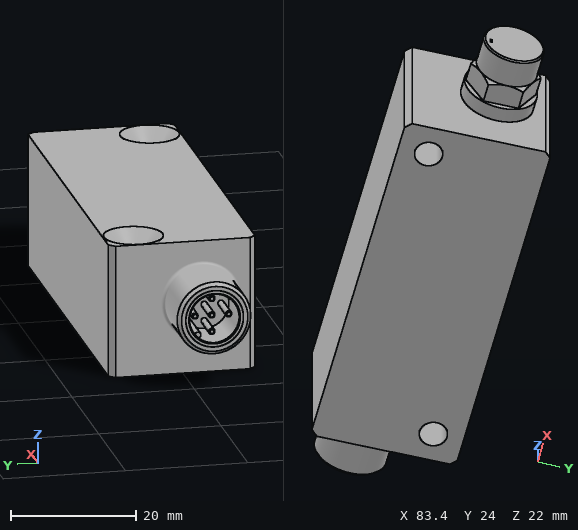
import cadquery as cq
import math

HOUSING_START = 10
HOUSING_LENGTH = 62.0
HOUSING_WIDTH = 24.0
HOUSING_HEIGHT = 22.0
CORNER_CHAMFER = 1.0
HOUSING_END = HOUSING_START + HOUSING_LENGTH
HOUSING_MIDDLE = HOUSING_START + HOUSING_LENGTH / 2

HOLE_DIAMETER = 4.5
COUNTERSINK_DIAMETER = 9.6
COUNTERSINK_ANGLE = 90
HOLE_INSET = 5

CONNECTOR_OFFSET = 3.0
CONNECTOR_HEIGHT = 1.0

SHELL_DIAMETER = 12.0
SHELL_TIP_CHAMFER = 0.6
ROOT_FILLET = 0.6
BORE_DIAMETER = 8.1
BORE_DEPTH = 7.9
BORE_STEP_DIAMETER = 9.4
BORE_STEP_DEPTH = 0.1
BORE_CHAMFER = 0.2
KEY_DIAMETER = 1.0
KEY_CIRCLE_RADIUS = 3.75
KEY_START = 0.4
PIN_DIAMETER = 1.0
PIN_TIP_CHAMFER = 0.2
PIN_TIP_START = 2.0
PIN_CIRCLE_RADIUS = 2.75
OUTER_PIN_COUNT = 4

FLANGE_DIAMETER = 12.0
FLANGE_LENGTH = 2.5
HEX_ACROSS_FLATS = 10
HEX_LENGTH = 3.75
HEX_CONE_LENGTH = 0.6
PLUG_DIAMETER = 10
PLUG_TIP_CHAMFER = 0.25
PLUG_END = 83.15
HEX_START = HOUSING_END + FLANGE_LENGTH
HEX_END = HEX_START + HEX_LENGTH
HEX_ACROSS_CORNERS = HEX_ACROSS_FLATS / math.cos(math.pi / 6)

TAB_SIZE = 0.3
TAB_Y = -3.8
TAB_Z = -0.8
PART_END = 83.4


def workplane_at(x, y):
    """YZ plane at a station along X, centred on a connector axis."""
    return cq.Workplane("YZ", origin=(x, y, CONNECTOR_HEIGHT))


def rod(start, end, diameter, y):
    """Cylinder along X on a connector axis."""
    return workplane_at(start, y).circle(diameter / 2).extrude(end - start)


def housing():
    block = cq.Workplane("XY").box(HOUSING_LENGTH, HOUSING_WIDTH, HOUSING_HEIGHT)
    block = block.edges("|Z").chamfer(CORNER_CHAMFER)
    hole_x = HOUSING_LENGTH / 2 - HOLE_INSET
    hole_y = HOUSING_WIDTH / 2 - HOLE_INSET
    block = (
        block.faces(">Z")
        .workplane()
        .pushPoints([(-hole_x, hole_y), (hole_x, -hole_y)])
        .cskHole(HOLE_DIAMETER, COUNTERSINK_DIAMETER, COUNTERSINK_ANGLE)
    )
    return block.translate((HOUSING_MIDDLE, 0, 0))


def pin_connector():
    y = -CONNECTOR_OFFSET
    shell = rod(0, HOUSING_START, SHELL_DIAMETER, y).faces("<X").chamfer(SHELL_TIP_CHAMFER)

    root_radius = SHELL_DIAMETER / 2
    fillet_start = HOUSING_START - ROOT_FILLET
    fillet_top = root_radius + ROOT_FILLET
    arc_reach = ROOT_FILLET * math.sqrt(0.5)
    flare = (
        cq.Workplane("XY", origin=(0, y, CONNECTOR_HEIGHT))
        .moveTo(fillet_start, 0)
        .lineTo(fillet_start, root_radius)
        .threePointArc((fillet_start + arc_reach, fillet_top - arc_reach), (HOUSING_START, fillet_top))
        .lineTo(HOUSING_START, 0)
        .close()
        .revolve(360, (0, 0, 0), (1, 0, 0))
    )
    shell = shell.union(flare)

    bore = rod(BORE_STEP_DEPTH, BORE_DEPTH, BORE_DIAMETER, y)
    step = rod(0, BORE_STEP_DEPTH, BORE_STEP_DIAMETER, y)
    mouth = (
        workplane_at(BORE_STEP_DEPTH, y)
        .circle(BORE_DIAMETER / 2 + BORE_CHAMFER)
        .workplane(offset=BORE_CHAMFER)
        .circle(BORE_DIAMETER / 2)
        .loft()
    )
    shell = shell.cut(bore).cut(step).cut(mouth)

    key_reach = KEY_CIRCLE_RADIUS * math.sqrt(0.5)
    key = (
        workplane_at(KEY_START, y)
        .center(key_reach, -key_reach)
        .circle(KEY_DIAMETER / 2)
        .extrude(BORE_DEPTH - KEY_START)
    )

    pins = (
        workplane_at(PIN_TIP_START, y)
        .polarArray(PIN_CIRCLE_RADIUS, 0, 360, OUTER_PIN_COUNT)
        .circle(PIN_DIAMETER / 2)
        .extrude(HOUSING_START - PIN_TIP_START)
    )
    pins = pins.union(rod(PIN_TIP_START, HOUSING_START, PIN_DIAMETER, y))
    pins = pins.faces("<X").chamfer(PIN_TIP_CHAMFER)
    return shell.union(key).union(pins)


def plug_connector():
    y = CONNECTOR_OFFSET
    flange = rod(HOUSING_END, HEX_START, FLANGE_DIAMETER, y)
    hexagon = workplane_at(HEX_START, y).polygon(6, HEX_ACROSS_CORNERS).extrude(HEX_LENGTH)
    cone_inset = (HEX_ACROSS_CORNERS - PLUG_DIAMETER) / 2
    cone = rod(HEX_START, HEX_END, HEX_ACROSS_CORNERS, y)
    cone = cone.faces(">X").chamfer(HEX_CONE_LENGTH, cone_inset)
    plug = rod(HEX_END, PLUG_END, PLUG_DIAMETER, y).faces(">X").chamfer(PLUG_TIP_CHAMFER)
    tab = (
        workplane_at(PLUG_END, y)
        .center(TAB_Y, TAB_Z)
        .rect(TAB_SIZE, TAB_SIZE)
        .extrude(PART_END - PLUG_END)
    )
    return flange.union(hexagon.intersect(cone)).union(plug).union(tab)


result = housing().union(pin_connector()).union(plug_connector())